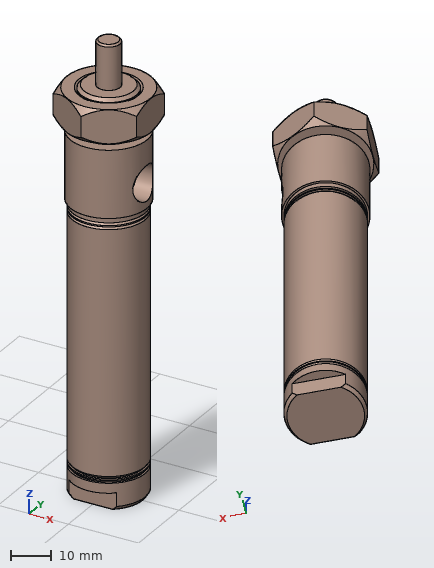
import cadquery as cq
import math

total_length = 126.2

tube_diameter = 20.7
tube_top = 78.5
head_diameter = 21.8
head_bottom = 81.9
head_top = 101.0
thread_diameter = 15.8
thread_top = 113.6
thread_chamfer = 0.9

groove_depth = 0.6
groove_width = 0.8
groove_pitch = 1.1
lower_groove_bottom = 7.7
upper_groove_bottom = tube_top
grooves_per_end = 2

end_chamfer_width = 0.8
end_chamfer_height = 1.1
flats_thickness = 15.7
flats_height = 4.9

port_diameter = 10.0
port_depth = 5.7
port_height = 89.0

rod_diameter = 6.5
rod_chamfer = 0.5
rod_seat_depth = thread_top - head_top
rod_bottom = thread_top - rod_seat_depth

nut_across_flats = 23.9
nut_across_corners = nut_across_flats / math.cos(math.pi / 6)
nut_bottom = 103.3
nut_top = 112.9
nut_height = nut_top - nut_bottom
nut_face_diameter = 23.7
nut_countersink = 0.6


def disc(diameter, bottom, top):
    """Solid cylinder on the Z axis."""
    return cq.Workplane("XY").workplane(offset=bottom).circle(diameter / 2).extrude(top - bottom)


def make_crimp_groove(bottom, deep_at_top):
    """Ring with a sawtooth section: a flat step at its deep end, a cone running out at the other."""
    outer_radius = tube_diameter / 2
    top = bottom + groove_width
    deep_end = top if deep_at_top else bottom
    section = [
        (outer_radius, bottom),
        (outer_radius, top),
        (outer_radius - groove_depth, deep_end),
    ]
    return cq.Workplane("XZ").polyline(section).close().revolve(360, (0, 0), (0, 1))


def make_body():
    """Tube, head and threaded neck, with the rod seat, port, grooves and wrench flats."""
    tube_radius = tube_diameter / 2
    profile = [
        (0, 0),
        (tube_radius - end_chamfer_width, 0),
        (tube_radius, end_chamfer_height),
        (tube_radius, head_bottom),
        (head_diameter / 2, head_bottom),
        (head_diameter / 2, head_top),
        (thread_diameter / 2, head_top),
        (thread_diameter / 2, thread_top - thread_chamfer),
        (thread_diameter / 2 - thread_chamfer, thread_top),
        (0, thread_top),
    ]
    body = cq.Workplane("XZ").polyline(profile).close().revolve(360, (0, 0), (0, 1))

    for first_bottom, deep_at_top in ((lower_groove_bottom, False), (upper_groove_bottom, True)):
        for index in range(grooves_per_end):
            groove_bottom = first_bottom + index * groove_pitch
            body = body.cut(make_crimp_groove(groove_bottom, deep_at_top))

    flats_zone = disc(head_diameter, 0, flats_height)
    kept_slab = cq.Workplane("XY").box(
        head_diameter, flats_thickness, flats_height, centered=(True, True, False)
    )
    body = body.cut(flats_zone.cut(kept_slab))

    port = (
        cq.Workplane("YZ")
        .workplane(offset=head_diameter / 2 - port_depth)
        .center(0, port_height)
        .circle(port_diameter / 2)
        .extrude(port_depth)
    )
    body = body.cut(port)

    return body.cut(disc(rod_diameter, rod_bottom, thread_top))


def make_rod():
    """Plain round rod with a chamfered tip."""
    return disc(rod_diameter, rod_bottom, total_length).faces(">Z").chamfer(rod_chamfer)


def make_nut():
    """Hexagonal nut with corners chamfered at 45 degrees on both faces."""
    prism = (
        cq.Workplane("XY")
        .workplane(offset=nut_bottom)
        .transformed(rotate=(0, 0, 90))
        .polygon(6, nut_across_corners)
        .extrude(nut_height)
    )
    corner_chamfer = (nut_across_corners - nut_face_diameter) / 2
    chamfered_disc = disc(nut_across_corners, nut_bottom, nut_top).edges("%CIRCLE").chamfer(corner_chamfer)
    nut = prism.intersect(chamfered_disc)
    nut = nut.cut(disc(thread_diameter, nut_bottom, nut_top))

    return nut.edges(cq.selectors.RadiusNthSelector(0)).chamfer(nut_countersink)


body = make_body()
rod = make_rod()
nut = make_nut()

result = cq.Compound.makeCompound([body.val(), rod.val(), nut.val()])